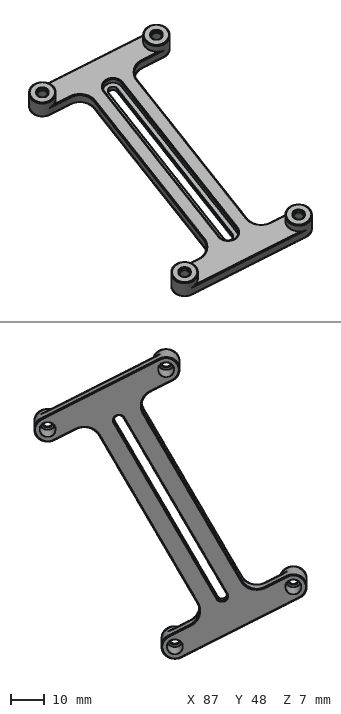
import cadquery as cq

length = 87.0
boss_diameter = 8.0
boss_spacing_y = 40.0
boss_height = 7.0
plate_thickness = 4.0
edge_chamfer = 0.305

bar_width = 15.05
inner_corner_radius = 5.05

hole_diameter = 3.2
counterbore_diameter = 4.7
counterbore_depth = 5.7

slot_length = 67.0
slot_width = 3.05
slot_ledge = 1.5
slot_recess_depth = plate_thickness / 2

boss_spacing_x = length - boss_diameter
boss_centers = [
    (side_x * boss_spacing_x / 2, side_y * boss_spacing_y / 2)
    for side_x in (-1, 1)
    for side_y in (-1, 1)
]


def make_plate():
    """H-shaped plate: two arms ending square at the boss centers, joined by a filleted bar."""
    arms = (
        cq.Workplane("XY")
        .pushPoints([(-boss_spacing_x / 2, 0), (boss_spacing_x / 2, 0)])
        .rect(boss_diameter, boss_spacing_y)
        .extrude(plate_thickness)
    )
    bar = cq.Workplane("XY").rect(boss_spacing_x, bar_width).extrude(plate_thickness)
    inner_corners = cq.selectors.BoxSelector(
        (-boss_spacing_x / 2, -bar_width, 0),
        (boss_spacing_x / 2, bar_width, plate_thickness),
    )
    plate = arms.union(bar).edges("|Z").edges(inner_corners).fillet(inner_corner_radius)
    return plate.faces("<Z or >Z").edges("not (<Y or >Y)").chamfer(edge_chamfer)


def make_bosses():
    """Round bosses at the arm ends, standing on the base plane."""
    return (
        cq.Workplane("XY")
        .pushPoints(boss_centers)
        .circle(boss_diameter / 2)
        .extrude(boss_height)
        .faces("<Z or >Z")
        .chamfer(edge_chamfer)
    )


def make_hole_cutter():
    """Screw holes chamfered at the top, with a counterbore for the screw head from below."""
    hole_radius = hole_diameter / 2
    rim_radius = hole_radius + edge_chamfer
    head_radius = counterbore_diameter / 2
    profile = [
        (0, 0),
        (head_radius, 0),
        (head_radius, counterbore_depth),
        (hole_radius, counterbore_depth),
        (hole_radius, boss_height - edge_chamfer),
        (rim_radius, boss_height),
        (0, boss_height),
    ]
    cutter = cq.Workplane("XZ").polyline(profile).close().revolve(360, (0, 0), (0, 1)).val()
    return cq.Workplane("XY").pushPoints(boss_centers).eachpoint(lambda place: cutter.moved(place))


def make_slot_layer(base_height, border):
    """Workplane at base_height holding the slot outline widened by border on every side."""
    return (
        cq.Workplane("XY")
        .workplane(offset=base_height)
        .slot2D(slot_length + 2 * border, slot_width + 2 * border)
    )


def make_slot_cutter():
    """Through slot with a wider recess above it, both flared at their mouths."""
    through = make_slot_layer(0, 0).extrude(plate_thickness)
    recess = make_slot_layer(plate_thickness - slot_recess_depth, slot_ledge).extrude(slot_recess_depth)
    top_flare = make_slot_layer(plate_thickness, slot_ledge + edge_chamfer).extrude(-edge_chamfer, taper=45)
    bottom_flare = make_slot_layer(0, edge_chamfer).extrude(edge_chamfer, taper=45)
    return through.union(recess).union(top_flare).union(bottom_flare)


result = make_plate().union(make_bosses()).cut(make_hole_cutter()).cut(make_slot_cutter())